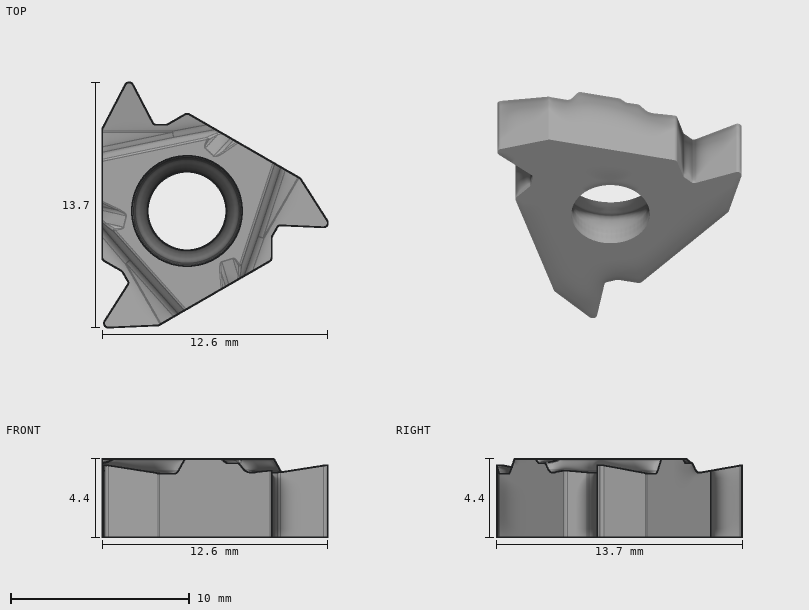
import cadquery as cq
import math

TOOTH_COUNT = 3
TOOTH_STEP = -360.0 / TOOTH_COUNT

height = 4.4
side_distance = 4.75

flank_angle = math.radians(27.5)
tooth_base_y = 4.59
apex_x = -3.24
foot_y = 4.84
foot_end_x = -1.11
rise_angle = math.radians(30.0)
base_radius = 0.18
tip_y = 7.2
tip_radius = 0.23
foot_radius = 0.18
foot_end_radius = 0.22
corner_radius = 0.25

bore_radius = 4.4 / 2
counterbore_radius = 6.18 / 2
counterbore_bottom_radius = 3.01
counterbore_depth = 1.0
seat_top_radius = 2.91
seat_top_depth = 1.26
seat_bottom_depth = 3.57

channel_angle = 11.8
channel_edge_y = 2.91
channel_depth = 0.84
channel_wall_angle = math.radians(58.0)
channel_rim_radius = 0.14
channel_blend_radius = 0.35
fold_y = 4.45
tooth_face_angle = math.radians(10.0)
clearance = 1.37
cutter_reach = 2 * side_distance

dimple_end = (-3.49, -0.58)
dimple_heading = -13.0
dimple_slope = 10.7
dimple_floor_width = 0.88
dimple_wall_angle = math.radians(40.0)
dimple_floor_radius = 0.32
dimple_rim_radius = 0.14
dimple_wall_height = 0.69
dimple_length = 2.75


def tooth_corners():
    """Sharp corners of one tooth, clockwise, each with its rounding radius."""
    base = (-side_distance, tooth_base_y)
    apex_y = tooth_base_y + (apex_x + side_distance) / math.tan(flank_angle)
    tip_half = (apex_y - tip_y) * math.tan(flank_angle)
    foot_x = apex_x + (apex_y - foot_y) * math.tan(flank_angle)
    normal_x, normal_y = math.cos(math.pi / TOOTH_COUNT), math.sin(math.pi / TOOTH_COUNT)
    gap = side_distance - foot_end_x * normal_x - foot_y * normal_y
    rise = gap / math.cos(math.pi / TOOTH_COUNT - rise_angle)
    corner = (foot_end_x + rise * math.cos(rise_angle), foot_y + rise * math.sin(rise_angle))
    return [
        (base, base_radius),
        ((apex_x - tip_half, tip_y), tip_radius),
        ((apex_x + tip_half, tip_y), tip_radius),
        ((foot_x, foot_y), foot_radius),
        ((foot_end_x, foot_y), foot_end_radius),
        (corner, corner_radius),
    ]


def turned(point, degrees):
    """The point turned about the Z axis."""
    angle = math.radians(degrees)
    x, y = point
    return (x * math.cos(angle) - y * math.sin(angle), x * math.sin(angle) + y * math.cos(angle))


def make_body():
    corners = []
    for tooth in range(TOOTH_COUNT):
        for point, radius in tooth_corners():
            corners.append((turned(point, tooth * TOOTH_STEP), radius))
    body = cq.Workplane("XY").polyline([point for point, _ in corners]).close().extrude(height)
    for (x, y), radius in corners:
        upright = body.edges("|Z").edges(cq.NearestToPointSelector((x, y, height / 2)))
        body = upright.fillet(radius)
    return body


def make_hole():
    counterbore_z = height - counterbore_depth
    seat_top_z = height - seat_top_depth
    seat_bottom_z = height - seat_bottom_depth
    rise = seat_top_z - seat_bottom_z
    flare = seat_top_radius - bore_radius
    seat_radius = (rise**2 + flare**2) / (2 * flare)
    half_sweep = math.asin(rise / seat_radius) / 2
    seat_middle = (
        bore_radius + seat_radius * (1 - math.cos(half_sweep)),
        seat_bottom_z + seat_radius * math.sin(half_sweep),
    )
    return (
        cq.Workplane("XZ")
        .moveTo(0, 0)
        .lineTo(bore_radius, 0)
        .lineTo(bore_radius, seat_bottom_z)
        .threePointArc(seat_middle, (seat_top_radius, seat_top_z))
        .tangentArcPoint((counterbore_bottom_radius, counterbore_z), relative=False)
        .lineTo(counterbore_radius, height)
        .lineTo(0, height)
        .close()
        .revolve(360, (0, 0, 0), (0, 1, 0))
    )


def make_channel():
    """Everything above the channel floor and the tooth face, out from the channel wall."""
    top = height + clearance
    floor_z = height - channel_depth
    rim_run = channel_rim_radius * math.sin(channel_wall_angle)
    rim_drop = channel_rim_radius * (1 - math.cos(channel_wall_angle))
    rim_middle = (
        channel_rim_radius * math.sin(channel_wall_angle / 2) - rim_run,
        height - channel_rim_radius * (1 - math.cos(channel_wall_angle / 2)),
    )
    wall_run = (channel_depth - rim_drop) / math.tan(channel_wall_angle)
    section = (
        cq.Workplane("YZ")
        .moveTo(-rim_run, top)
        .lineTo(-rim_run, height)
        .threePointArc(rim_middle, (0, height - rim_drop))
        .lineTo(wall_run, floor_z)
        .lineTo(cutter_reach, floor_z)
        .lineTo(cutter_reach, top)
        .close()
    )
    channel = (
        section.extrude(2 * cutter_reach)
        .translate((-cutter_reach / 2, 0, 0))
        .rotate((0, 0, 0), (0, 0, 1), channel_angle)
        .translate((-side_distance, channel_edge_y, 0))
    )
    above_tooth_face = (
        cq.Workplane("YZ")
        .moveTo(-cutter_reach, top)
        .lineTo(-cutter_reach, floor_z - clearance)
        .lineTo(fold_y - clearance / math.tan(tooth_face_angle), floor_z - clearance)
        .lineTo(fold_y + cutter_reach, floor_z + cutter_reach * math.tan(tooth_face_angle))
        .lineTo(fold_y + cutter_reach, top)
        .close()
        .extrude(cutter_reach * 2, both=True)
    )
    cutter = channel.intersect(above_tooth_face)
    meeting_point = cutter.vertices(cq.NearestToPointSelector((0, fold_y, floor_z)))
    return meeting_point.ancestors("Edge").fillet(channel_blend_radius)


def make_dimple():
    """Flat-bottomed groove whose floor climbs inwards until it runs out at the top face."""
    floor_half = dimple_floor_width / 2
    top_half = floor_half + dimple_wall_height / math.tan(dimple_wall_angle)
    groove = (
        cq.Workplane("YZ")
        .polyline(
            [
                (-floor_half, 0),
                (floor_half, 0),
                (top_half, dimple_wall_height),
                (-top_half, dimple_wall_height),
            ]
        )
        .close()
        .extrude(-dimple_length)
        .edges("|X and <Z")
        .fillet(dimple_floor_radius)
    )
    return (
        groove.rotate((0, 0, 0), (0, 1, 0), -dimple_slope)
        .rotate((0, 0, 0), (0, 0, 1), dimple_heading)
        .translate((*dimple_end, height))
    )


def round_dimple_rim(body, degrees):
    """Round the top edge of the dimple turned by the given angle about the Z axis."""
    end_x, end_y = turned(dimple_end, degrees)
    rim = body.edges(cq.NearestToPointSelector((end_x, end_y, height)))
    return rim.fillet(dimple_rim_radius)


result = make_body().cut(make_hole())
channel = make_channel()
dimple = make_dimple()
for tooth in range(TOOTH_COUNT):
    turn = tooth * TOOTH_STEP
    for cutter in (channel, dimple):
        result = result.cut(cutter.rotate((0, 0, 0), (0, 0, 1), turn))
for tooth in range(TOOTH_COUNT):
    result = round_dimple_rim(result, tooth * TOOTH_STEP)